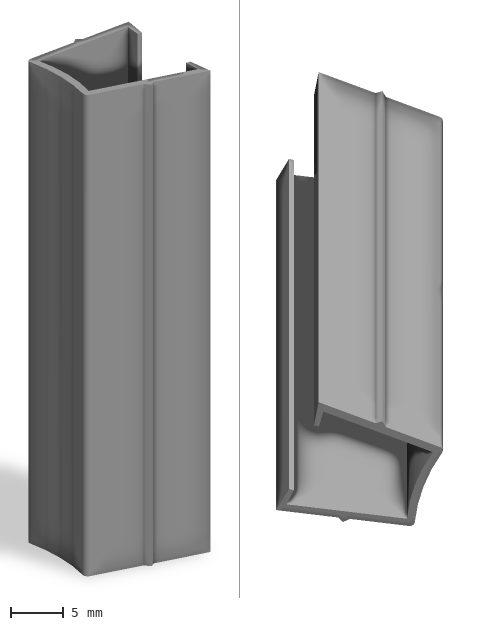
import cadquery as cq

length = 50.0
width = 13.7
depth = 13.0

half_top = width / 2
half_bottom = 4.95
wall = 0.85
wall_lean = (half_top - half_bottom) / depth

floor_thickness = 0.85
floor_rise = 0.5
corner_drop = 0.1
corner_radius = 0.5

lip_tip_x = 4.05
lip_tip_top = 12.6
lip_tip_bottom = 12.1
lip_root_bottom = 12.25

barb_bottom = 6.0
barb_tip_y = 6.55
barb_top = 7.1
barb_tip_x = 6.4


def wall_outside(y):
    """Half-width of the outer wall face at height y of the profile."""
    return half_bottom + wall_lean * y


def wall_inside(y):
    return wall_outside(y) - wall


def make_channel():
    profile = (
        cq.Workplane("XY")
        .moveTo(-wall_outside(-corner_drop), -corner_drop)
        .threePointArc((0, floor_rise), (wall_outside(-corner_drop), -corner_drop))
        .lineTo(half_top, depth)
        .lineTo(lip_tip_x, lip_tip_top)
        .lineTo(lip_tip_x, lip_tip_bottom)
        .lineTo(wall_inside(lip_root_bottom), lip_root_bottom)
        .lineTo(wall_inside(floor_thickness), floor_thickness)
        .threePointArc(
            (0, floor_rise + floor_thickness),
            (-wall_inside(floor_thickness), floor_thickness),
        )
        .lineTo(-wall_inside(lip_root_bottom), lip_root_bottom)
        .lineTo(-lip_tip_x, lip_tip_bottom)
        .lineTo(-lip_tip_x, lip_tip_top)
        .lineTo(-half_top, depth)
        .close()
    )
    channel = profile.extrude(length)
    return channel.edges("|Z and <Y").fillet(corner_radius)


def make_barb(side):
    """Triangular barb; side is +1 or -1 and its root is sunk into the wall."""
    root_x = wall_inside((barb_bottom + barb_top) / 2) + wall / 2
    points = [
        (root_x, barb_bottom),
        (wall_outside(barb_bottom), barb_bottom),
        (barb_tip_x, barb_tip_y),
        (wall_outside(barb_top), barb_top),
        (root_x, barb_top),
    ]
    outline = [(side * x, y) for x, y in points]
    return cq.Workplane("XY").polyline(outline).close().extrude(length)


result = make_channel()
for side in (-1, 1):
    result = result.union(make_barb(side))